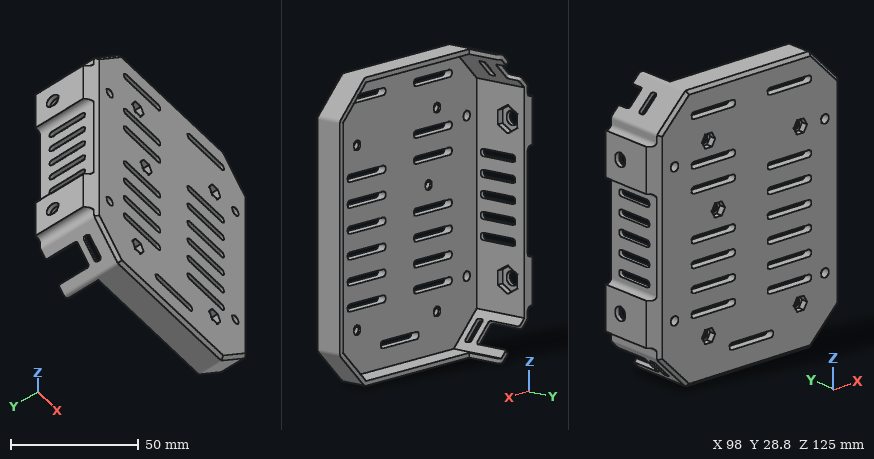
import cadquery as cq
import math

body_width = 95.0
body_height = 125.0
corner_leg = 15.0
corner_angle = 45.0
wall = 2.0
floor = 4.0
low_wall_y = 13.0
tall_wall_y = 28.8
tall_reach = 17.0
tall_end_radius = 1.2
floor_chamfer = 1.5
left_corner_radius = 2.0
right_corner_radius = 2.5

pad_projection = 3.0
pad_length = 20.0
pad_fillet = 2.0
pad_hole_diameter = 6.0
pad_hole_y = 20.0
pad_bore_depth = 2.1
pad_nut_flats = 10.0
corner_up_turn = 30.0
mount_offset = 32.5

slot_width = 3.0
floor_slot_length = 23.0
floor_slot_spacing = 40.0
floor_slot_pitch = 10.5
floor_slot_x = 0.9
lowest_row_z = 30.0
single_slot_z = 11.5
left_rows = (0, 1, 2, 3, 5, 6, 8)
right_rows = (0, 1, 2, 3, 4, 5, 8)
screw_diameter = 4.0
mount_hole_x = 39.5
nut_flats = 6.0
nut_depth = 3.0

board_x = -21.6
board_z = 19.0
board_screws = ((0, 0), (0, 82.5), (5.1, 52.1), (48.2, 1.2), (48.2, 76.1))

wall_slot_length = 18.0
wall_slot_y = 15.0
wall_slot_pitch = 8.5
wall_slot_count = 5

upper_opening_width = 10.0
upper_notch_y = 22.8
upper_slot_y = 15.4
lower_opening_width = 11.2
lower_notch_y = 13.1
lower_slot_y = 8.5
opening_radius = 1.0

left_x = -body_width / 2
mid_z = body_height / 2
mount_levels = (mid_z - mount_offset, mid_z + mount_offset)
overshoot = 1.2


def box(x0, x1, y0, y1, z0, z1):
    return cq.Workplane("XY", origin=(x0, y0, z0)).box(x1 - x0, y1 - y0, z1 - z0, centered=False)


def octagon(inset, y0, y1):
    """Octagonal block whose eight sides lie the same distance inside the body."""
    block = box(left_x + inset, -left_x - inset, y0, y1, inset, body_height - inset)
    return block.edges("|Y").chamfer(corner_leg - inset * (2 - math.sqrt(2)))


def arc_bend(radius):
    """Offset, along both legs, from a square corner to the middle of its rounding."""
    return radius * (1 - math.sqrt(0.5))


def hexagon_corners(flats):
    """Corner to corner size of a hexagon with the given size across flats."""
    return flats / math.cos(math.pi / 6)


def span_selector(x0, x1):
    """Selects what lies between two X positions over the whole depth and height."""
    return cq.selectors.BoxSelector(
        (x0, -overshoot, -overshoot), (x1, tall_wall_y + overshoot, body_height + overshoot)
    )


def make_shell():
    """Octagonal tray with rounded upright corners and a chamfered floor edge."""
    chamfered = octagon(0, 0, tall_wall_y).faces("<Y").chamfer(floor_chamfer)
    uprights_left = span_selector(left_x - overshoot, left_x + tall_reach)
    uprights_right = span_selector(-left_x - tall_reach, -left_x + overshoot)
    rounded = octagon(0, 0, tall_wall_y)
    rounded = rounded.edges("|Y").edges(uprights_left).fillet(left_corner_radius)
    rounded = rounded.edges("|Y").edges(uprights_right).fillet(right_corner_radius)
    return chamfered.intersect(rounded).cut(octagon(wall, floor, tall_wall_y))


def low_wall_clearance():
    """Space above the low walls; it ends at the tall wall, whose free corner is rounded."""
    end_x = left_x + tall_reach
    right_x = -left_x + overshoot
    bend = arc_bend(tall_end_radius)
    return (
        cq.Workplane("XY", origin=(0, 0, -overshoot))
        .moveTo(end_x, low_wall_y)
        .lineTo(right_x, low_wall_y)
        .lineTo(right_x, tall_wall_y)
        .lineTo(end_x - tall_end_radius, tall_wall_y)
        .threePointArc((end_x - bend, tall_wall_y - bend), (end_x, tall_wall_y - tall_end_radius))
        .close()
        .extrude(body_height + 2 * overshoot)
    )


def make_pad(z):
    """Pad on the left wall with concave flanks; its front end slopes on from the floor chamfer."""
    half = pad_length / 2
    blend = half + pad_fillet
    tip_x = left_x - pad_projection
    shoulder_x = left_x - pad_fillet
    root_x = left_x + wall / 2
    bend = arc_bend(pad_fillet)
    pad = (
        cq.Workplane("XY")
        .moveTo(tip_x, -half)
        .lineTo(shoulder_x, -half)
        .threePointArc((left_x - bend, -half - bend), (left_x, -blend))
        .lineTo(root_x, -blend)
        .lineTo(root_x, blend)
        .lineTo(left_x, blend)
        .threePointArc((left_x - bend, half + bend), (shoulder_x, half))
        .lineTo(tip_x, half)
        .close()
        .extrude(tall_wall_y)
        .rotate((0, 0, 0), (1, 0, 0), -90)
        .translate((0, 0, z))
    )
    slope_y = floor_chamfer + pad_projection
    front_wedge = (
        cq.Workplane("XY", origin=(0, 0, z - blend))
        .polyline([(tip_x, slope_y), (left_x + floor_chamfer, 0), (tip_x, 0)])
        .close()
        .extrude(2 * blend)
    )
    return pad.cut(front_wedge)


def floor_plane(x, z):
    """Sketch plane on the outer floor face; negative extrusions run into the tray."""
    return cq.Workplane("XZ", origin=(x, 0, z))


def floor_slot(x, z):
    slot = floor_plane(x, z).slot2D(floor_slot_length, slot_width)
    return slot.extrude(-floor)


def floor_slots():
    half_spacing = floor_slot_spacing / 2
    slots = floor_slot(floor_slot_x, single_slot_z)
    for x, rows in ((-half_spacing, left_rows), (half_spacing, right_rows)):
        for row in rows:
            slots = slots.union(floor_slot(floor_slot_x + x, lowest_row_z + row * floor_slot_pitch))
    return slots


def screw_hole(x, z):
    return floor_plane(x, z).circle(screw_diameter / 2).extrude(-floor)


def board_hole(x, z):
    """Screw hole with a hexagonal nut recess in the outer floor face."""
    nut = floor_plane(x, z).polygon(6, hexagon_corners(nut_flats)).extrude(-nut_depth)
    return nut.union(screw_hole(x, z))


def left_wall_plane(y, z):
    """Sketch plane level with the pad faces: local X along -Y, local Y along Z."""
    return cq.Workplane(cq.Plane((left_x - pad_projection, y, z), (0, -1, 0), (1, 0, 0)))


def wall_slot(z):
    slot = left_wall_plane(wall_slot_y, z).slot2D(wall_slot_length, slot_width)
    return slot.extrude(pad_projection + wall)


def pad_hole(z):
    """Bolt hole through a pad, with a hexagonal nut recess on the inside pointing up and down."""
    through = pad_projection + wall
    bore = left_wall_plane(pad_hole_y, z).circle(pad_hole_diameter / 2).extrude(through)
    nut = left_wall_plane(pad_hole_y, z).transformed(rotate=(0, 0, corner_up_turn))
    nut = nut.polygon(6, hexagon_corners(pad_nut_flats)).extrude(through)
    return bore.union(nut.translate((pad_bore_depth, 0, 0)))


def corner_openings(side, width, notch_y, slot_y):
    """Cutter for one tall corner wall: side is 1 for the top corner and -1 for the bottom one."""
    half = width / 2
    radius = opening_radius
    bend = arc_bend(radius)
    mouth = half + radius
    shoulder_y = tall_wall_y - radius
    notch = (
        cq.Workplane("XY")
        .moveTo(-mouth, tall_wall_y)
        .threePointArc((-half - bend, tall_wall_y - bend), (-half, shoulder_y))
        .lineTo(-half, notch_y)
        .lineTo(half, notch_y)
        .lineTo(half, shoulder_y)
        .threePointArc((half + bend, tall_wall_y - bend), (mouth, tall_wall_y))
        .close()
        .extrude(2 * wall, both=True)
        .edges("|Z and <Y")
        .fillet(radius)
    )
    slot = cq.Workplane("XY", origin=(0, slot_y, 0)).rect(width, slot_width).extrude(2 * wall, both=True)
    slot = slot.edges("|Z").fillet(radius)
    wall_mid_x = left_x + corner_leg / 2
    wall_mid_z = mid_z + side * (mid_z - corner_leg / 2)
    cutter = notch.union(slot).rotate((0, 0, 0), (0, 1, 0), -corner_angle * side)
    return cutter.translate((wall_mid_x, 0, wall_mid_z))


result = make_shell().cut(low_wall_clearance())
for level in mount_levels:
    result = result.union(make_pad(level))

for level in mount_levels:
    result = result.cut(pad_hole(level))
    for hole_x in (-mount_hole_x, mount_hole_x):
        result = result.cut(screw_hole(hole_x, level))
for screw_x, screw_z in board_screws:
    result = result.cut(board_hole(board_x + screw_x, board_z + screw_z))

result = result.cut(floor_slots())
for index in range(wall_slot_count):
    rise = (index - (wall_slot_count - 1) / 2) * wall_slot_pitch
    result = result.cut(wall_slot(mid_z + rise))
result = result.cut(corner_openings(1, upper_opening_width, upper_notch_y, upper_slot_y))
result = result.cut(corner_openings(-1, lower_opening_width, lower_notch_y, lower_slot_y))